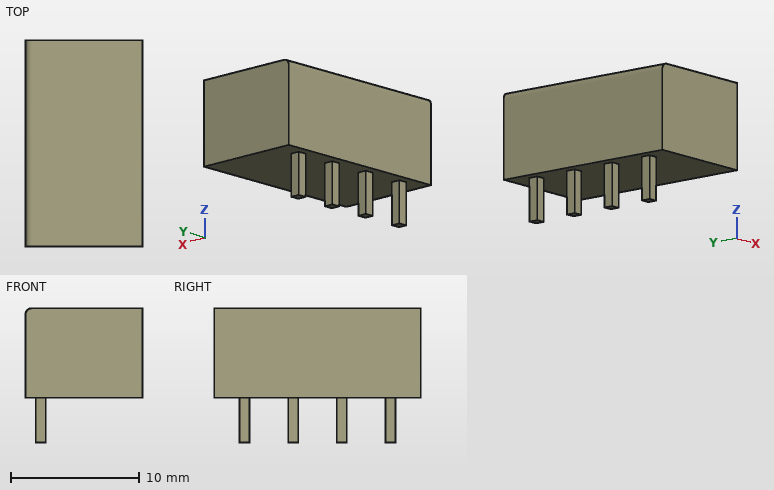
import cadquery as cq

housing_length_x = 9.15
housing_length_y = 16.12
housing_height = 7.0
edge_radius = 0.5

pin_count = 4
pin_pitch = 3.8
pin_width = 0.8
pin_length = 3.5
pin_row_inset = 1.2

pin_row_x = -housing_length_x / 2 + pin_row_inset
first_pin_y = -pin_pitch * (pin_count - 1) / 2


def make_housing():
    """Block standing on Z = 0, with its top -X edge rounded along Y."""
    block = cq.Workplane("XY").box(
        housing_length_x, housing_length_y, housing_height, centered=(True, True, False)
    )
    return block.edges("|Y and >Z and <X").fillet(edge_radius)


def make_pin(y):
    """Square pin hanging from the underside of the housing."""
    return cq.Workplane("XY").center(pin_row_x, y).rect(pin_width, pin_width).extrude(-pin_length)


housing = make_housing()
pins = [make_pin(first_pin_y + index * pin_pitch) for index in range(pin_count)]

result = cq.Compound.makeCompound([housing.val(), *[pin.val() for pin in pins]])